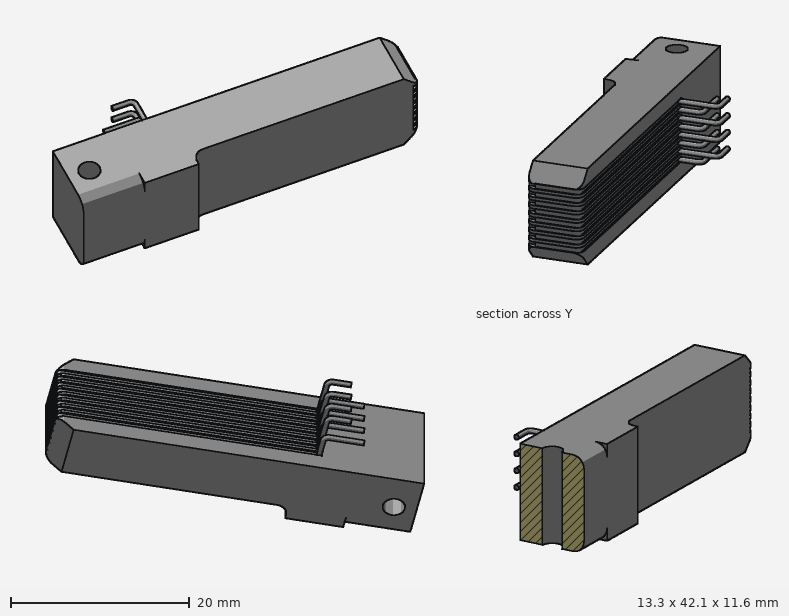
import cadquery as cq

BODY_WIDTH = 8.4
BODY_LENGTH = 42.1
BODY_HEIGHT = 11.56
SHANK_WIDTH = 6.6
HEAD_LENGTH = 14.15
SHOULDER_RADIUS = 1.3
NOSE_RADIUS = 1.0
NOSE_CHAMFER = 2.0
CUT_OVERSIZE = 1.0

CORNER_RADIUS = 1.5
CORNER_LENGTH = 7.5

HOLE_DIAMETER = 2.5
HOLE_X = BODY_WIDTH / 2
HOLE_Y = 2.6

CONTACT_COUNT = 8
CONTACT_PITCH = 1.0
CONTACT_ROW_HEIGHT = 5.81
WIRE = 0.6
RECESS = 0.2
CONTACT_RADIUS = 0.35
LEAD_Y = 12.0
BEND_RADIUS = 0.6
OUTER_ROW_REACH = 4.6
INNER_ROW_REACH = 2.6
OUTER_TIP_Y = 9.35
INNER_TIP_Y = 7.45

SLOT_DEPTH = RECESS + WIRE
SLOT_START_Y = LEAD_Y - WIRE / 2
NOSE_FLOOR_Y = BODY_LENGTH - SLOT_DEPTH
CONTACT_END_X = SHANK_WIDTH - NOSE_RADIUS


def contact_height(index):
    """Height of a contact's middle, counted from the lowest one."""
    return CONTACT_ROW_HEIGHT + (index - (CONTACT_COUNT - 1) / 2) * CONTACT_PITCH


def make_block():
    """Stepped housing outline with its rounded nose, bevelled above and below."""
    outline = (
        cq.Workplane("XY")
        .lineTo(BODY_WIDTH, 0)
        .lineTo(BODY_WIDTH, HEAD_LENGTH)
        .lineTo(SHANK_WIDTH + SHOULDER_RADIUS, HEAD_LENGTH)
        .radiusArc((SHANK_WIDTH, HEAD_LENGTH + SHOULDER_RADIUS), SHOULDER_RADIUS)
        .lineTo(SHANK_WIDTH, BODY_LENGTH)
        .lineTo(0, BODY_LENGTH)
        .close()
        .extrude(BODY_HEIGHT)
    )
    rounded = outline.edges("|Z and >Y").fillet(NOSE_RADIUS)
    side_profile = (
        cq.Workplane("YZ")
        .lineTo(BODY_LENGTH - NOSE_CHAMFER, 0)
        .lineTo(BODY_LENGTH, NOSE_CHAMFER)
        .lineTo(BODY_LENGTH, BODY_HEIGHT - NOSE_CHAMFER)
        .lineTo(BODY_LENGTH - NOSE_CHAMFER, BODY_HEIGHT)
        .lineTo(0, BODY_HEIGHT)
        .close()
        .extrude(BODY_WIDTH)
    )
    return rounded.intersect(side_profile)


def make_head_corner_cutter():
    """Material outside the rounded +X corners of the head."""
    corner_box = cq.Workplane("XY").box(
        CORNER_RADIUS, CORNER_LENGTH, BODY_HEIGHT, centered=False
    ).translate((BODY_WIDTH - CORNER_RADIUS, 0, 0))
    rounded_head = cq.Workplane("XY").box(
        BODY_WIDTH, CORNER_LENGTH, BODY_HEIGHT, centered=False
    ).edges("|Y and >X").fillet(CORNER_RADIUS)
    return corner_box.cut(rounded_head)


def make_slot_cutter(height):
    """Slot along the -X face, continuing across the whole nose."""
    return (
        cq.Workplane("XY", origin=(0, 0, height - WIRE / 2))
        .moveTo(-CUT_OVERSIZE, SLOT_START_Y)
        .lineTo(SLOT_DEPTH, SLOT_START_Y)
        .lineTo(SLOT_DEPTH, NOSE_FLOOR_Y)
        .lineTo(BODY_WIDTH, NOSE_FLOOR_Y)
        .lineTo(BODY_WIDTH, BODY_LENGTH + CUT_OVERSIZE)
        .lineTo(-CUT_OVERSIZE, BODY_LENGTH + CUT_OVERSIZE)
        .close()
        .extrude(WIRE)
    )


def make_housing():
    hole = (
        cq.Workplane("XY")
        .center(HOLE_X, HOLE_Y)
        .circle(HOLE_DIAMETER / 2)
        .extrude(BODY_HEIGHT)
    )
    housing = make_block().cut(hole).cut(make_head_corner_cutter())
    for index in range(CONTACT_COUNT):
        housing = housing.cut(make_slot_cutter(contact_height(index)))
    return housing


def make_contact(height, reach, tip_y):
    """Square strip lying in the slot, with a round lead bent toward -Y."""
    strip = (
        cq.Workplane("XY", origin=(0, 0, height - WIRE / 2))
        .moveTo(RECESS, SLOT_START_Y)
        .lineTo(SLOT_DEPTH, SLOT_START_Y)
        .lineTo(SLOT_DEPTH, NOSE_FLOOR_Y)
        .lineTo(CONTACT_END_X, NOSE_FLOOR_Y)
        .lineTo(CONTACT_END_X, NOSE_FLOOR_Y + WIRE)
        .lineTo(RECESS + CONTACT_RADIUS, NOSE_FLOOR_Y + WIRE)
        .radiusArc((RECESS, NOSE_FLOOR_Y + WIRE - CONTACT_RADIUS), -CONTACT_RADIUS)
        .close()
        .extrude(WIRE)
    )
    lead_path = (
        cq.Workplane("XY", origin=(0, 0, height))
        .moveTo(SLOT_DEPTH, LEAD_Y)
        .lineTo(BEND_RADIUS - reach, LEAD_Y)
        .radiusArc((-reach, LEAD_Y - BEND_RADIUS), -BEND_RADIUS)
        .lineTo(-reach, tip_y)
    )
    lead = (
        cq.Workplane("YZ", origin=(SLOT_DEPTH, LEAD_Y, height))
        .circle(WIRE / 2)
        .sweep(lead_path)
    )
    return strip.union(lead)


def make_contacts():
    """Contacts alternate between the inner and outer lead rows, from the bottom up."""
    contacts = []
    for index in range(CONTACT_COUNT):
        if index % 2 == 0:
            contact = make_contact(contact_height(index), INNER_ROW_REACH, INNER_TIP_Y)
        else:
            contact = make_contact(contact_height(index), OUTER_ROW_REACH, OUTER_TIP_Y)
        contacts.append(contact.solids().val())
    return contacts


housing = make_housing()
contacts = make_contacts()

result = cq.Compound.makeCompound([housing.solids().val(), *contacts])